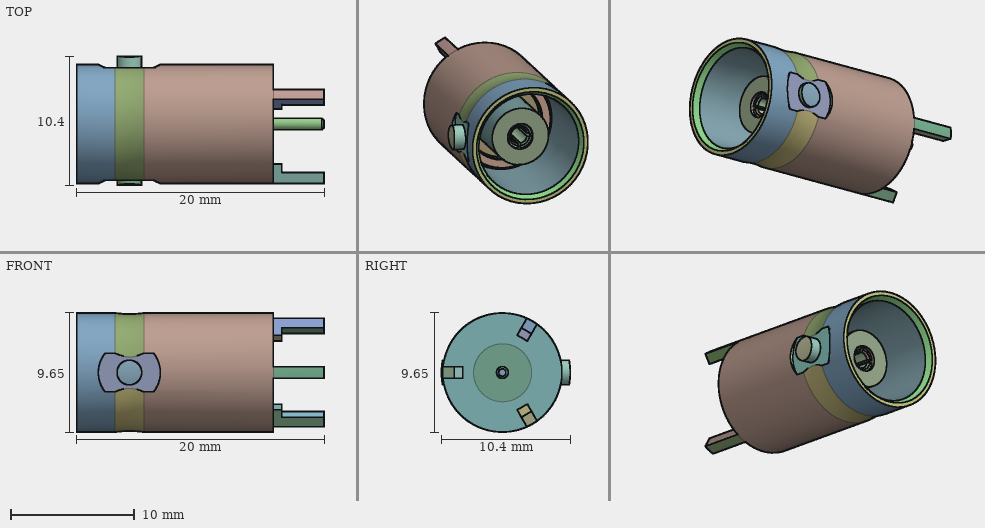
import cadquery as cq
import math


BODY_R = 4.825
BODY_LENGTH = 15.91
TOTAL_LENGTH = 20.01

STUD_X = 4.26
STUD_R = 1.0
STUD_TOP_LONG = 5.505
STUD_TOP_SHORT = 4.935
GROOVE_WIDTH = 2.33
GROOVE_DEPTH = 0.085
FLAT_RECESS_R = 2.51
FLAT_OFFSET = 4.565

MOUTH_R = 4.48
MOUTH_CHAMFER_END_R = 4.17
MOUTH_CHAMFER_DEPTH = 0.5
SOCKET_END_R = 4.03
SOCKET_DEPTH = 8.7
SEAT_R = 3.90
SEAT_BORE_R = 3.10
SEAT_HEIGHT = 0.3
SEAT_CHAMFER = 0.08
SEAT_BORE_DEPTH = 9.2

INSULATOR_R = 2.35
INSULATOR_X = 3.22
CONTACT_R = 1.05
CONTACT_X = 3.52
CONTACT_BORE_R = 0.68
CONTACT_BORE_DEPTH = 4.5
CONTACT_CHAMFER = 0.16
DRILL_POINT_ANGLE = 118
SLOT_WIDTH = 0.25
SLOT_DEPTH = 3.0

LEG_COUNT = 3
LEG_WIDTH = 0.95
LEG_INNER_R = 3.90
LEG_FOOT_INNER_R = 3.22
LEG_FOOT_LENGTH = 0.70
PIN_R = 0.475
PIN_CHAMFER = 0.18


def cylinder(radius, x_start, x_end):
    """Cylinder on the connector axis."""
    return cq.Workplane("YZ", origin=(x_start, 0, 0)).circle(radius).extrude(x_end - x_start)


def revolve_about_axis(profile):
    """Turn a closed profile of (axial, radial) points about the connector axis."""
    return profile.close().revolve(360, (0, 0, 0), (1, 0, 0))


def make_shell():
    groove_start = STUD_X - GROOVE_WIDTH / 2
    groove_end = STUD_X + GROOVE_WIDTH / 2
    return revolve_about_axis(
        cq.Workplane("XY")
        .lineTo(0, BODY_R)
        .lineTo(groove_start, BODY_R)
        .threePointArc((STUD_X, BODY_R - GROOVE_DEPTH), (groove_end, BODY_R))
        .lineTo(BODY_LENGTH, BODY_R)
        .lineTo(BODY_LENGTH, 0)
    )


def make_socket():
    """Space inside the shell: chamfered mouth, tapered wall and a raised seat ring at the bottom."""
    seat_x = SOCKET_DEPTH - SEAT_HEIGHT
    return revolve_about_axis(
        cq.Workplane("XY")
        .lineTo(0, MOUTH_R)
        .lineTo(MOUTH_CHAMFER_DEPTH, MOUTH_CHAMFER_END_R)
        .lineTo(SOCKET_DEPTH, SOCKET_END_R)
        .lineTo(SOCKET_DEPTH, SEAT_R)
        .lineTo(seat_x + SEAT_CHAMFER, SEAT_R)
        .lineTo(seat_x, SEAT_R - SEAT_CHAMFER)
        .lineTo(seat_x, SEAT_BORE_R + SEAT_CHAMFER)
        .lineTo(seat_x + SEAT_CHAMFER, SEAT_BORE_R)
        .lineTo(SEAT_BORE_DEPTH, SEAT_BORE_R)
        .lineTo(SEAT_BORE_DEPTH, 0)
    )


def make_flat_recess(side):
    """Round recess that leaves a flat around a stud; side is +1 for +Y and -1 for -Y."""
    plane = cq.Plane(origin=(STUD_X, side * FLAT_OFFSET, 0), xDir=(1, 0, 0), normal=(0, side, 0))
    return cq.Workplane(plane).circle(FLAT_RECESS_R).extrude(BODY_R)


def make_stud(side, top):
    """Round stud whose end is rounded about the connector axis."""
    root = (MOUTH_R + FLAT_OFFSET) / 2
    plane = cq.Plane(origin=(STUD_X, side * root, 0), xDir=(1, 0, 0), normal=(0, side, 0))
    post = cq.Workplane(plane).circle(STUD_R).extrude(top - root)
    return post.intersect(cylinder(top, 0, BODY_LENGTH))


def make_insulator():
    insulator = cylinder(INSULATOR_R, INSULATOR_X, BODY_LENGTH)
    return insulator.cut(cylinder(CONTACT_R, INSULATOR_X, CONTACT_X))


def make_contact_bore():
    """Chamfered blind bore of the centre contact, ending in a drill point."""
    bore_end = CONTACT_X + CONTACT_BORE_DEPTH
    point_depth = CONTACT_BORE_R / math.tan(math.radians(DRILL_POINT_ANGLE / 2))
    return revolve_about_axis(
        cq.Workplane("XY")
        .moveTo(CONTACT_X, 0)
        .lineTo(CONTACT_X, CONTACT_BORE_R + CONTACT_CHAMFER)
        .lineTo(CONTACT_X + CONTACT_CHAMFER, CONTACT_BORE_R)
        .lineTo(bore_end, CONTACT_BORE_R)
        .lineTo(bore_end + point_depth, 0)
    )


def make_contact_slots():
    """Two crossed slots that split the tip of the contact into four fingers."""
    start = cq.Workplane("YZ", origin=(CONTACT_X, 0, 0))
    upright = start.rect(SLOT_WIDTH, 2 * CONTACT_R).extrude(SLOT_DEPTH)
    level = start.rect(2 * CONTACT_R, SLOT_WIDTH).extrude(SLOT_DEPTH)
    return upright.union(level).intersect(cylinder(CONTACT_R, CONTACT_X, CONTACT_X + SLOT_DEPTH))


def make_leg(angle):
    """Solder leg with a deeper foot, flush with the outside of the shell."""
    foot_x = BODY_LENGTH + LEG_FOOT_LENGTH
    blank_r = BODY_R + LEG_WIDTH
    leg = (
        cq.Workplane("XY")
        .moveTo(BODY_LENGTH, blank_r)
        .lineTo(TOTAL_LENGTH, blank_r)
        .lineTo(TOTAL_LENGTH, LEG_INNER_R)
        .lineTo(foot_x, LEG_INNER_R)
        .lineTo(foot_x, LEG_FOOT_INNER_R)
        .lineTo(BODY_LENGTH, LEG_FOOT_INNER_R)
        .close()
        .extrude(LEG_WIDTH / 2, both=True)
    )
    leg = leg.intersect(cylinder(BODY_R, BODY_LENGTH, TOTAL_LENGTH))
    return leg.rotate((0, 0, 0), (1, 0, 0), angle)


def make_pin():
    return cylinder(PIN_R, BODY_LENGTH, TOTAL_LENGTH).faces(">X").chamfer(PIN_CHAMFER)


result = make_shell().union(make_pin())
for index in range(LEG_COUNT):
    result = result.union(make_leg(180 + index * 360 / LEG_COUNT))

result = result.cut(make_socket())
for side, top in ((1, STUD_TOP_LONG), (-1, STUD_TOP_SHORT)):
    result = result.cut(make_flat_recess(side)).union(make_stud(side, top))

result = result.union(make_insulator()).cut(make_contact_bore()).cut(make_contact_slots())